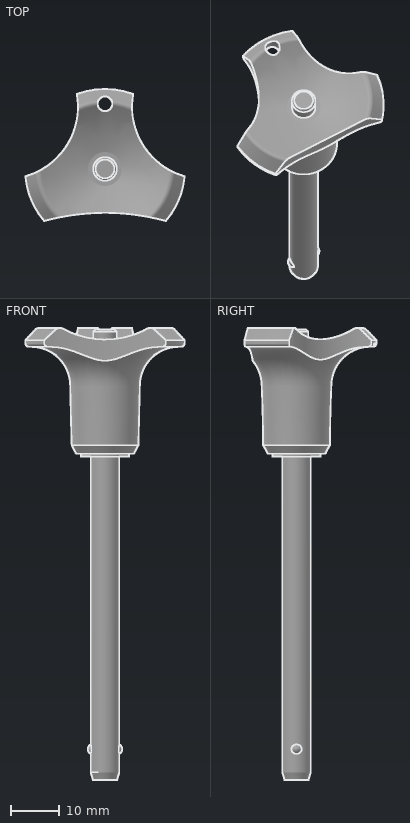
import cadquery as cq
import math

SHAFT_RADIUS = 3.0
SHAFT_LENGTH = 67.0
TIP_RADIUS = 2.5
TIP_HEIGHT = 1.6

BALL_RADIUS = 1.1
BALL_OFFSET = 2.5
BALL_HEIGHT_ABOVE_TIP = 6.4

HANDLE_HEIGHT = 26.7
SHOULDER_RADIUS = 5.0
SHOULDER_HEIGHT = 0.6
BARREL_END_RADIUS = 6.0
BARREL_BOTTOM_RADIUS = 6.95
BARREL_BOTTOM_Z = 2.4
BARREL_TOP_RADIUS = 7.25
BARREL_TOP_Z = 14.75

FLARE_RADIUS = 8.0
HEAD_RADIUS = 16.6
LOWER_EDGE_ROUND = 0.8
BEVEL_START_Z = 24.15
BEVEL_ANGLE = math.radians(46)
RIM_ROUND = 1.0
BOWL_RADIUS = 23.0

FRONT_SCALLOP_RADIUS = 48.0
FRONT_SCALLOP_EDGE_Y = -9.12
SIDE_SCALLOP_RADIUS = 15.0
SIDE_SCALLOP_X = 20.62
SIDE_SCALLOP_Y = 12.9

LANYARD_HOLE_RADIUS = 1.5
LANYARD_HOLE_Y = 13.5

SEAT_RADIUS = 3.5
BUTTON_RADIUS = 2.45
BUTTON_TOP_Z = 26.4
BUTTON_CHAMFER = 0.5


def point_on_circle(center, radius, angle):
    return (center[0] + radius * math.cos(angle), center[1] + radius * math.sin(angle))


def handle_body():
    """Revolve the handle profile, drawn as (radius, height) points."""
    flare_center = (BARREL_TOP_RADIUS + FLARE_RADIUS, BARREL_TOP_Z)
    head_bottom_z = BARREL_TOP_Z + FLARE_RADIUS
    edge_center = (HEAD_RADIUS - LOWER_EDGE_ROUND, head_bottom_z + LOWER_EDGE_ROUND)

    rim_center_z = HANDLE_HEIGHT - RIM_ROUND
    bevel_run = (rim_center_z - BEVEL_START_Z) / math.tan(BEVEL_ANGLE)
    rim_center_x = HEAD_RADIUS - bevel_run - RIM_ROUND / math.sin(BEVEL_ANGLE)
    rim_center = (rim_center_x, rim_center_z)

    center_distance = BOWL_RADIUS + RIM_ROUND
    bowl_center_z = rim_center_z + math.sqrt(center_distance**2 - rim_center_x**2)
    bowl_tilt = math.asin(rim_center_x / center_distance)
    seat_tilt = math.asin(SEAT_RADIUS / BOWL_RADIUS)

    def bowl_point(tilt):
        return point_on_circle((0, bowl_center_z), BOWL_RADIUS, tilt - math.pi / 2)

    seat_edge = bowl_point(seat_tilt)

    return (
        cq.Workplane("XZ")
        .moveTo(0, 0)
        .lineTo(SHOULDER_RADIUS, 0)
        .lineTo(SHOULDER_RADIUS, SHOULDER_HEIGHT)
        .lineTo(BARREL_END_RADIUS, SHOULDER_HEIGHT)
        .lineTo(BARREL_BOTTOM_RADIUS, BARREL_BOTTOM_Z)
        .lineTo(BARREL_TOP_RADIUS, BARREL_TOP_Z)
        .threePointArc(
            point_on_circle(flare_center, FLARE_RADIUS, math.radians(135)),
            (flare_center[0], head_bottom_z),
        )
        .lineTo(edge_center[0], head_bottom_z)
        .threePointArc(
            point_on_circle(edge_center, LOWER_EDGE_ROUND, math.radians(-45)),
            (HEAD_RADIUS, edge_center[1]),
        )
        .lineTo(HEAD_RADIUS, BEVEL_START_Z)
        .lineTo(*point_on_circle(rim_center, RIM_ROUND, math.pi / 2 - BEVEL_ANGLE))
        .threePointArc((rim_center_x, HANDLE_HEIGHT), bowl_point(bowl_tilt))
        .threePointArc(bowl_point((bowl_tilt + seat_tilt) / 2), seat_edge)
        .lineTo(0, seat_edge[1])
        .close()
        .revolve(360, (0, 0, 0), (0, 1, 0))
    )


def vertical_cutter(x, y, radius):
    return cq.Workplane("XY").center(x, y).circle(radius).extrude(HANDLE_HEIGHT)


def handle():
    body = handle_body()
    front_scallop_y = FRONT_SCALLOP_EDGE_Y - FRONT_SCALLOP_RADIUS
    body = body.cut(vertical_cutter(0, front_scallop_y, FRONT_SCALLOP_RADIUS))
    for side in (-1, 1):
        body = body.cut(vertical_cutter(side * SIDE_SCALLOP_X, SIDE_SCALLOP_Y, SIDE_SCALLOP_RADIUS))
    return body.cut(vertical_cutter(0, LANYARD_HOLE_Y, LANYARD_HOLE_RADIUS))


def button():
    """Button post, carried down into the barrel so that it joins the handle."""
    height = BUTTON_TOP_Z - BARREL_TOP_Z
    post = cq.Workplane("XY").workplane(offset=BARREL_TOP_Z).circle(BUTTON_RADIUS).extrude(height)
    return post.faces(">Z").chamfer(BUTTON_CHAMFER)


def shaft():
    """Pin with a conical tip, reaching into the barrel as far as its lower chamfer."""
    return (
        cq.Workplane("XZ")
        .moveTo(0, -SHAFT_LENGTH)
        .lineTo(TIP_RADIUS, -SHAFT_LENGTH)
        .lineTo(SHAFT_RADIUS, TIP_HEIGHT - SHAFT_LENGTH)
        .lineTo(SHAFT_RADIUS, BARREL_BOTTOM_Z)
        .lineTo(0, BARREL_BOTTOM_Z)
        .close()
        .revolve(360, (0, 0, 0), (0, 1, 0))
    )


def locking_ball(side):
    ball_z = BALL_HEIGHT_ABOVE_TIP - SHAFT_LENGTH
    return cq.Workplane("XY").sphere(BALL_RADIUS).translate((side * BALL_OFFSET, 0, ball_z))


result = handle().union(button()).union(shaft())
for ball_side in (-1, 1):
    result = result.union(locking_ball(ball_side))